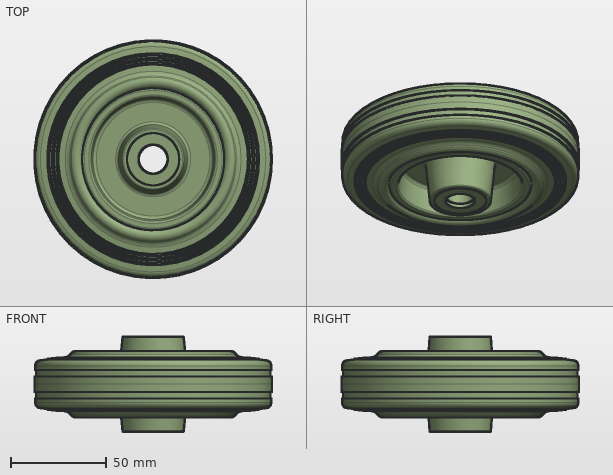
import cadquery as cq
import math


TREAD_RADIUS = 62.5
TREAD_HALF_WIDTH = 4.0
GROOVE_DEPTH = 0.8
GROOVE_OUTER_Z = 7.4
SHOULDER_RADIUS = 62.1

SHOULDER_ROUND_Z = 9.6
SIDEWALL_OUTER_RADIUS = 59.2
SIDEWALL_OUTER_Z = 12.6
SIDEWALL_INNER_RADIUS = 46.2
SIDEWALL_INNER_Z = 14.2
SIDEWALL_SLOPE = (SIDEWALL_INNER_Z - SIDEWALL_OUTER_Z) / (SIDEWALL_OUTER_RADIUS - SIDEWALL_INNER_RADIUS)

RIDGE_COUNT = 3
RIDGE_PITCH = 2.4
RIDGE_FIRST_RADIUS = 50.4
RIDGE_HALF_WIDTH = 0.56
RIDGE_HEIGHT = 0.44

RIM_RADIUS = 37.4
BEAD_ROUND = 3.2
BEAD_TOP_Z = 17.5
BEAD_FLANK_ANGLE = math.radians(50)
BEAD_FLANK_LENGTH = 1.0

RIM_LIP_Z = 16.5
RIM_LIP_ROUND = 1.1
RECESS_TOP_RADIUS = 32.8
RECESS_FLOOR_RADIUS = 31.5
WEB_HALF_THICKNESS = 2.0
RECESS_FILLET = 1.8
HUB_HALF_LENGTH = 25.0
HUB_TOP_RADIUS = 16.1
HUB_BASE_RADIUS = 18.4
HUB_BASE_FILLET = 1.5
HUB_TOP_ROUND = 0.6
BORE_RADIUS = 7.5

CAP_RADIUS = 13.8
CAP_THICKNESS = 2.5
CAP_BORE_RADIUS = 7.8


def ring(half_profile):
    """Revolve a closed profile (X = radius, Y = height) about the Z axis."""
    return half_profile.close().revolve(360, (0, 0, 0), (0, 1, 0))


def mirrored(upper_half):
    """Join an upper half to its mirror image below the mid-plane."""
    return upper_half.union(upper_half.mirror("XY"))


def sidewall_z(radius):
    return SIDEWALL_OUTER_Z + (SIDEWALL_OUTER_RADIUS - radius) * SIDEWALL_SLOPE


def add_ridges(profile):
    """Continue an outline inwards along the sidewall, over each ridge."""
    for index in reversed(range(RIDGE_COUNT)):
        centre = RIDGE_FIRST_RADIUS + index * RIDGE_PITCH
        outer = centre + RIDGE_HALF_WIDTH
        inner = centre - RIDGE_HALF_WIDTH
        crest = (centre, sidewall_z(centre) + RIDGE_HEIGHT)
        profile = profile.lineTo(outer, sidewall_z(outer))
        profile = profile.threePointArc(crest, (inner, sidewall_z(inner)))
    return profile


def make_tire():
    groove_radius = TREAD_RADIUS - GROOVE_DEPTH
    bead_centre_radius = RIM_RADIUS + BEAD_ROUND
    bead_centre_z = BEAD_TOP_Z - BEAD_ROUND
    flank_top_radius = bead_centre_radius + BEAD_ROUND * math.sin(BEAD_FLANK_ANGLE)
    flank_top_z = bead_centre_z + BEAD_ROUND * math.cos(BEAD_FLANK_ANGLE)
    flank_base_radius = flank_top_radius + BEAD_FLANK_LENGTH * math.cos(BEAD_FLANK_ANGLE)
    flank_base_z = flank_top_z - BEAD_FLANK_LENGTH * math.sin(BEAD_FLANK_ANGLE)

    profile = (
        cq.Workplane("XZ")
        .moveTo(RIM_RADIUS, 0)
        .lineTo(TREAD_RADIUS, 0)
        .lineTo(TREAD_RADIUS, TREAD_HALF_WIDTH)
        .lineTo(groove_radius, TREAD_HALF_WIDTH)
        .lineTo(groove_radius, GROOVE_OUTER_Z)
        .lineTo(SHOULDER_RADIUS, GROOVE_OUTER_Z)
        .lineTo(SHOULDER_RADIUS, SHOULDER_ROUND_Z)
        .tangentArcPoint((SIDEWALL_OUTER_RADIUS, SIDEWALL_OUTER_Z), relative=False)
    )
    profile = (
        add_ridges(profile)
        .lineTo(SIDEWALL_INNER_RADIUS, SIDEWALL_INNER_Z)
        .tangentArcPoint((flank_base_radius, flank_base_z), relative=False)
        .lineTo(flank_top_radius, flank_top_z)
        .threePointArc((bead_centre_radius, BEAD_TOP_Z), (RIM_RADIUS, bead_centre_z))
    )
    return mirrored(ring(profile))


def round_circle(solid, radius, z, round_radius):
    """Round the circular edge of the given radius and height."""
    circle = solid.edges("%CIRCLE").filter(
        lambda edge: math.isclose(edge.radius(), radius, abs_tol=0.001)
        and math.isclose(edge.Center().z, z, abs_tol=0.001)
    )
    return circle.fillet(round_radius)


def make_rim():
    cap_seat_z = HUB_HALF_LENGTH - CAP_THICKNESS
    upper_half = ring(
        cq.Workplane("XZ")
        .moveTo(BORE_RADIUS, 0)
        .lineTo(RIM_RADIUS, 0)
        .lineTo(RIM_RADIUS, RIM_LIP_Z)
        .lineTo(RECESS_TOP_RADIUS, RIM_LIP_Z)
        .lineTo(RECESS_FLOOR_RADIUS, WEB_HALF_THICKNESS)
        .lineTo(HUB_BASE_RADIUS, WEB_HALF_THICKNESS)
        .lineTo(HUB_TOP_RADIUS, HUB_HALF_LENGTH)
        .lineTo(CAP_RADIUS, HUB_HALF_LENGTH)
        .lineTo(CAP_RADIUS, cap_seat_z)
        .lineTo(BORE_RADIUS, cap_seat_z)
    )
    upper_half = round_circle(upper_half, RIM_RADIUS, RIM_LIP_Z, RIM_LIP_ROUND)
    upper_half = round_circle(upper_half, RECESS_TOP_RADIUS, RIM_LIP_Z, RIM_LIP_ROUND)
    upper_half = round_circle(upper_half, RECESS_FLOOR_RADIUS, WEB_HALF_THICKNESS, RECESS_FILLET)
    upper_half = round_circle(upper_half, HUB_BASE_RADIUS, WEB_HALF_THICKNESS, HUB_BASE_FILLET)
    upper_half = round_circle(upper_half, HUB_TOP_RADIUS, HUB_HALF_LENGTH, HUB_TOP_ROUND)
    return mirrored(upper_half)


def make_cap(base_z):
    return (
        cq.Workplane("XY", origin=(0, 0, base_z))
        .circle(CAP_RADIUS)
        .circle(CAP_BORE_RADIUS)
        .extrude(CAP_THICKNESS)
    )


tire = make_tire()
rim = make_rim()
caps = [make_cap(base_z) for base_z in (HUB_HALF_LENGTH - CAP_THICKNESS, -HUB_HALF_LENGTH)]

result = cq.Compound.makeCompound([tire.val(), rim.val(), *[cap.val() for cap in caps]])